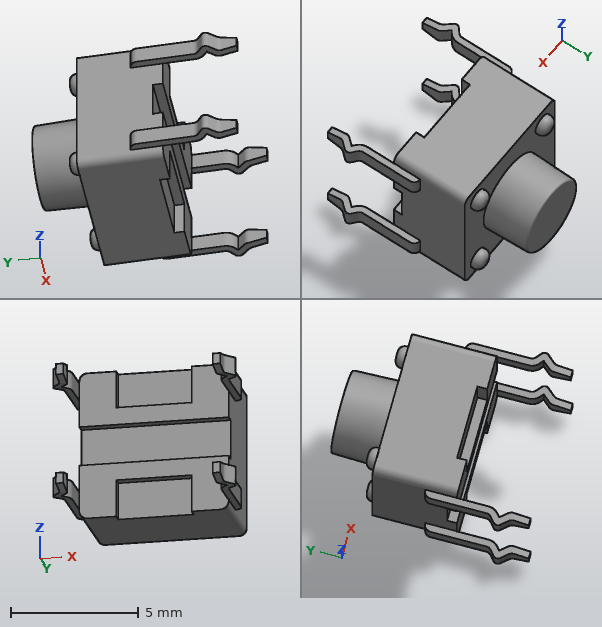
import cadquery as cq
import math


overall_depth = 8.5

body_side = 6.0
body_depth = 3.45
corner_radius = 0.32
recess_depth = 0.4
channel_width = 1.59
pocket_width = 3.035
pocket_height = body_side / 4

plunger_base_diameter = 3.49
plunger_top_diameter = 3.375
plunger_height = 2.05
plunger_edge_radius = 0.085

rivet_diameter = 0.9
rivet_height = 0.41
rivet_dome_radius = 0.29
rivet_offset = 2.16

leg_thickness = 0.3
leg_width = 0.73
leg_tip_width = 0.43
leg_offset_z = 2.25
leg_root_y = 1.29
bend_start_y = -1.54
crest_y = -1.81
bend_end_y = -2.185
taper_start_y = -2.3
leg_end_y = body_depth + plunger_height - overall_depth
crest_inner_out = 0.32
start_bend_outer_radius = 0.26
start_bend_inner_radius = start_bend_outer_radius + leg_thickness
crest_radius = 0.195
end_bend_radius = 0.3

half_side = body_side / 2


def make_body():
    """Square housing with rounded corners, a cross channel and two edge pockets."""
    body = cq.Workplane("XY").box(body_side, body_depth, body_side, centered=(True, False, True))
    body = body.edges("|Y").fillet(corner_radius)
    channel = cq.Workplane("XY").box(
        body_side, recess_depth, channel_width, centered=(True, False, True)
    )
    body = body.cut(channel)
    pocket = cq.Workplane("XY").box(
        pocket_width, recess_depth, pocket_height, centered=(True, False, False)
    )
    for bottom_z in (-half_side, half_side - pocket_height):
        body = body.cut(pocket.translate((0, 0, bottom_z)))
    return body


def top_plane():
    """Work plane on the plunger side of the housing, facing +Y."""
    return cq.Workplane(cq.Plane(origin=(0, body_depth, 0), xDir=(1, 0, 0), normal=(0, 1, 0)))


def make_plunger():
    """Tapered round button with a rounded top edge."""
    draft = math.degrees(
        math.atan2((plunger_base_diameter - plunger_top_diameter) / 2, plunger_height)
    )
    plunger = top_plane().circle(plunger_base_diameter / 2).extrude(plunger_height, taper=draft)
    return plunger.faces(">Y").edges().fillet(plunger_edge_radius)


def make_rivets():
    """Four domed rivet heads, one near each corner."""
    rivets = (
        top_plane()
        .rect(2 * rivet_offset, 2 * rivet_offset, forConstruction=True)
        .vertices()
        .circle(rivet_diameter / 2)
        .extrude(rivet_height)
    )
    return rivets.faces(">Y").edges().fillet(rivet_dome_radius)


def make_leg():
    """Snap-in leg on the +X side, centred on Z = 0: a kinked strip with a tapered tip."""
    start_angle = math.atan2(crest_inner_out, bend_start_y - crest_y)
    end_angle = math.atan2(crest_inner_out, crest_y - bend_end_y)

    inner_start = (half_side, bend_start_y)
    inner_crest = (half_side + crest_inner_out, crest_y)
    inner_end = (half_side, bend_end_y)
    outer_out = half_side + leg_thickness
    outer_start_y = bend_start_y + leg_thickness * math.tan(start_angle / 2)
    outer_end_y = bend_end_y - leg_thickness * math.tan(end_angle / 2)
    outer_start = (outer_out, outer_start_y)
    outer_end = (outer_out, outer_end_y)
    start_slope = math.tan(start_angle)
    end_slope = math.tan(end_angle)
    crest_fall = (outer_start_y - outer_end_y) * end_slope / (start_slope + end_slope)
    outer_crest = (outer_out + crest_fall * start_slope, outer_start_y - crest_fall)

    root_mid_out = half_side + leg_thickness * math.sin(math.pi / 4)
    root_mid_y = leg_root_y - leg_thickness * (1 - math.cos(math.pi / 4))
    leg = (
        cq.Workplane("XY")
        .workplane(offset=-leg_width / 2)
        .moveTo(half_side, leg_root_y)
        .threePointArc((root_mid_out, root_mid_y), (outer_out, leg_root_y - leg_thickness))
        .lineTo(*outer_start)
        .lineTo(*outer_crest)
        .lineTo(*outer_end)
        .lineTo(outer_out, leg_end_y)
        .lineTo(half_side, leg_end_y)
        .lineTo(*inner_end)
        .lineTo(*inner_crest)
        .lineTo(*inner_start)
        .close()
        .extrude(leg_width)
    )
    bends = (
        (inner_start, start_bend_inner_radius),
        (outer_start, start_bend_outer_radius),
        (outer_crest, crest_radius),
        (inner_end, end_bend_radius),
        (outer_end, end_bend_radius),
    )
    for corner, radius in bends:
        corner_edge = cq.selectors.NearestToPointSelector((*corner, 0))
        leg = leg.edges("|Z").edges(corner_edge).fillet(radius)

    width_outline = (
        cq.Workplane("YZ")
        .moveTo(leg_root_y, leg_width / 2)
        .lineTo(taper_start_y, leg_width / 2)
        .lineTo(leg_end_y, leg_tip_width / 2)
        .lineTo(leg_end_y, -leg_tip_width / 2)
        .lineTo(taper_start_y, -leg_width / 2)
        .lineTo(leg_root_y, -leg_width / 2)
        .close()
        .extrude(body_side)
    )
    return leg.intersect(width_outline)


result = make_body().union(make_plunger()).union(make_rivets())
right_leg = make_leg()
left_leg = right_leg.mirror("YZ")
for leg_z in (-leg_offset_z, leg_offset_z):
    for leg in (left_leg, right_leg):
        result = result.union(leg.translate((0, 0, leg_z)))